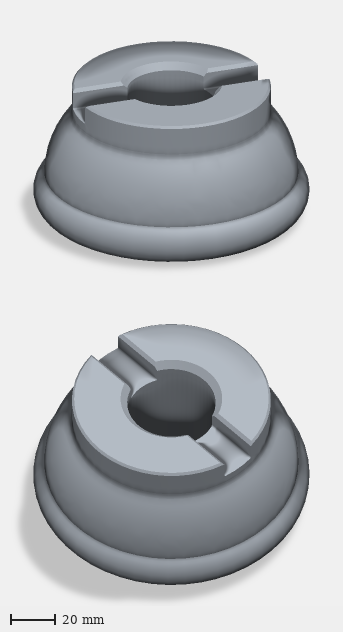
import cadquery as cq
import math

height = 63.0
outer_radius = 62.5
bore_radius = 20.0
bore_chamfer = 3.0

rim_radius = 10.0
seat_radius = outer_radius - rim_radius

dome_foot_radius = 57.5
dome_foot_z = rim_radius + math.sqrt(rim_radius**2 - (dome_foot_radius - seat_radius) ** 2)
dome_mid_radius = 53.5
dome_mid_z = 36.0
dome_top_radius = 45.8
dome_top_z = 47.0
neck_radius = 45.0
neck_foot_z = 49.2
neck_chamfer = 1.0

slot_width = 16.2
slot_depth = 9.5
slot_chamfer = 1.5
slot_fillet = 0.7


def make_hub_blank():
    """Revolved hub: chamfered bore, straight neck, dome and seat for the rim ring."""
    return (
        cq.Workplane("XZ")
        .moveTo(bore_radius, 0)
        .lineTo(bore_radius, height - bore_chamfer)
        .lineTo(bore_radius + bore_chamfer, height)
        .lineTo(neck_radius - neck_chamfer, height)
        .lineTo(neck_radius, height - neck_chamfer)
        .lineTo(neck_radius, neck_foot_z)
        .tangentArcPoint((dome_top_radius, dome_top_z), relative=False)
        .threePointArc((dome_mid_radius, dome_mid_z), (dome_foot_radius, dome_foot_z))
        .lineTo(seat_radius, dome_foot_z)
        .lineTo(seat_radius, 0)
        .close()
        .revolve(360, (0, 0, 0), (0, 1, 0))
    )


def make_slot_cutter():
    """Slot with rounded floor corners and chamfered upper edges."""
    length = 2 * outer_radius
    half_width = slot_width / 2
    floor_z = height - slot_depth
    channel = (
        cq.Workplane("XY")
        .box(slot_width, length, slot_depth, centered=(True, True, False))
        .edges("|Y and <Z")
        .fillet(slot_fillet)
        .translate((0, 0, floor_z))
    )
    flare = (
        cq.Workplane("XZ")
        .polyline(
            [
                (-half_width, height - slot_chamfer),
                (half_width, height - slot_chamfer),
                (half_width + slot_chamfer, height),
                (-half_width - slot_chamfer, height),
            ]
        )
        .close()
        .extrude(length / 2, both=True)
    )
    return channel.union(flare)


def make_hub():
    """Hub with the driving slot cut across its top."""
    return make_hub_blank().cut(make_slot_cutter()).solids()


def make_rim_ring():
    """Ring with a round outer section, flat on top where the dome rests on it."""
    return (
        cq.Workplane("XZ")
        .moveTo(seat_radius, 0)
        .threePointArc((outer_radius, rim_radius), (dome_foot_radius, dome_foot_z))
        .lineTo(seat_radius, dome_foot_z)
        .close()
        .revolve(360, (0, 0, 0), (0, 1, 0))
    )


hub = make_hub()
rim_ring = make_rim_ring()

result = cq.Compound.makeCompound([hub.val(), rim_ring.val()])